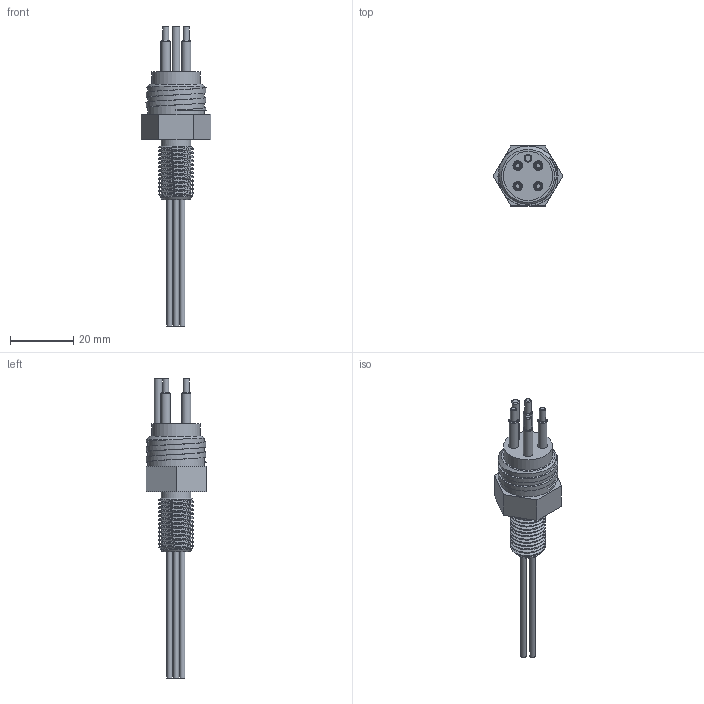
import cadquery as cq
import math

HEX_HEIGHT = 8.0
COLLAR_HEIGHT = 9.5
PLUG_HEIGHT = 4.0
PIN_HEIGHT = 14.5
SHANK_LENGTH = 19.0
NECK_LENGTH = 2.0
WIRE_LENGTH = 40.0

COLLAR_BOTTOM = HEX_HEIGHT
COLLAR_TOP = COLLAR_BOTTOM + COLLAR_HEIGHT
PLUG_TOP = COLLAR_TOP + PLUG_HEIGHT
SHANK_BOTTOM = -SHANK_LENGTH

HEX_SIDES = 6
HEX_ACROSS_FLATS = 19.0
HEX_CORNER_RADIUS = HEX_ACROSS_FLATS / 2 / math.cos(math.pi / HEX_SIDES)

COLLAR_DIAMETER = 17.9
COLLAR_TOP_DIAMETER = 16.8
PLUG_DIAMETER = 15.5

COLLAR_THREAD_DIAMETER = 19.0
COLLAR_THREAD_PITCH = 3.175
COLLAR_THREAD_ROOT_WIDTH = 1.65
COLLAR_THREAD_CREST_WIDTH = 1.55
COLLAR_THREAD_START = COLLAR_BOTTOM + 1.4

SHANK_CORE_DIAMETER = 9.5
SHANK_THREAD_DIAMETER = 11.11
SHANK_THREAD_PITCH = 1.27
SHANK_THREAD_ROOT_WIDTH = 1.15
SHANK_THREAD_CREST_WIDTH = 0.35
SHANK_THREAD_TOP = -NECK_LENGTH
SHANK_RIDGE_DROP = 0.4
SHANK_RIDGE_START = SHANK_BOTTOM - SHANK_RIDGE_DROP
SHANK_END_DIAMETER = 8.9
SHANK_END_CHAMFER_HEIGHT = 1.6
SHANK_LEAD_IN_HEIGHT = 0.6

PIN_SPACING = 6.5
PIN_BASE_DIAMETER = 3.0
PIN_TIP_DIAMETER = 2.0
PIN_TIP_LENGTH = 4.5
PIN_SHOULDER_CHAMFER = 0.3
PIN_END_CHAMFER = 0.3
EARTH_PIN_DIAMETER = 2.5
EARTH_PIN_OFFSET = 5.6

WIRE_DIAMETER = 1.7
WIRE_OFFSET = 2.0

EMBED = 0.2
CORE_OVERRUN = 2.0
RIDGE_OVERRUN = 1.5
TRIM_DIAMETER = 30.0
TRIM_LENGTH = 10.0


def cylinder(diameter, bottom, top):
    """Solid cylinder on the Z axis between two heights."""
    return cq.Workplane("XY").workplane(offset=bottom).circle(diameter / 2).extrude(top - bottom)


def revolved(outline):
    """Solid of revolution about Z from (radius, height) points."""
    return cq.Workplane("XZ").polyline(outline).close().revolve(360, (0, 0, 0), (0, 1, 0))


def threaded_bar(
    core_diameter, crest_diameter, root_width, crest_width, pitch, ridge_start, turn, bottom, top
):
    """Bar with a right-handed helical ridge, cut off square at both ends.

    The ridge section is centred on height `ridge_start` at `turn` degrees from +X.
    """
    inner = core_diameter / 2 - EMBED
    outer = crest_diameter / 2
    section = [
        (inner, -root_width / 2),
        (outer, -crest_width / 2),
        (outer, crest_width / 2),
        (inner, root_width / 2),
    ]
    helix = cq.Wire.makeHelix(pitch, top + RIDGE_OVERRUN - ridge_start, core_diameter / 2)
    ridge = cq.Workplane("XZ").polyline(section).close().sweep(cq.Workplane(obj=helix), isFrenet=True)
    ridge = ridge.rotate((0, 0, 0), (0, 0, 1), turn).translate((0, 0, ridge_start))
    bar = cylinder(core_diameter, bottom - CORE_OVERRUN, top + CORE_OVERRUN).union(ridge)
    bar = bar.cut(cylinder(TRIM_DIAMETER, top, top + TRIM_LENGTH))
    return bar.cut(cylinder(TRIM_DIAMETER, bottom - TRIM_LENGTH, bottom))


def chamfer_cutter(end_radius, side_radius, end_height, side_height):
    """Ring outside the cone through (end_radius, end_height) and (side_radius, side_height)."""
    radial_run = side_radius - end_radius
    axial_run = side_height - end_height
    inner_radius = end_radius - radial_run
    outer_radius = side_radius + radial_run
    beyond_end = end_height - axial_run
    return revolved([
        (inner_radius, beyond_end),
        (outer_radius, beyond_end),
        (outer_radius, side_height + axial_run),
    ])


def hexagon():
    """Hexagonal flange with two flats facing -Y and +Y."""
    corners = []
    for index in range(HEX_SIDES):
        angle = 2 * math.pi * index / HEX_SIDES
        corners.append((HEX_CORNER_RADIUS * math.cos(angle), HEX_CORNER_RADIUS * math.sin(angle)))
    return cq.Workplane("XY").polyline(corners).close().extrude(HEX_HEIGHT)


def collar():
    """Collar with a coarse thread; one 45 degree cone chamfers both the core and the thread."""
    ridge_start = COLLAR_THREAD_START - COLLAR_THREAD_CREST_WIDTH / 2
    threaded = threaded_bar(
        COLLAR_DIAMETER, COLLAR_THREAD_DIAMETER, COLLAR_THREAD_ROOT_WIDTH, COLLAR_THREAD_CREST_WIDTH,
        COLLAR_THREAD_PITCH, ridge_start, -90, COLLAR_THREAD_START, COLLAR_TOP,
    )
    plain = cylinder(COLLAR_DIAMETER, COLLAR_BOTTOM, COLLAR_THREAD_START)
    end_radius = COLLAR_TOP_DIAMETER / 2
    side_radius = COLLAR_THREAD_DIAMETER / 2
    cone_bottom = COLLAR_TOP - (side_radius - end_radius)
    return threaded.union(plain).cut(chamfer_cutter(end_radius, side_radius, COLLAR_TOP, cone_bottom))


def shank():
    """Plain neck above a fine-threaded shank that is chamfered at both ends."""
    threaded = threaded_bar(
        SHANK_CORE_DIAMETER, SHANK_THREAD_DIAMETER, SHANK_THREAD_ROOT_WIDTH, SHANK_THREAD_CREST_WIDTH,
        SHANK_THREAD_PITCH, SHANK_RIDGE_START, 0, SHANK_BOTTOM, SHANK_THREAD_TOP,
    )
    end_radius = SHANK_END_DIAMETER / 2
    side_radius = SHANK_THREAD_DIAMETER / 2
    cone_top = SHANK_BOTTOM + SHANK_END_CHAMFER_HEIGHT
    threaded = threaded.cut(chamfer_cutter(end_radius, side_radius, SHANK_BOTTOM, cone_top))
    core_radius = SHANK_CORE_DIAMETER / 2
    lead_in_bottom = SHANK_THREAD_TOP - SHANK_LEAD_IN_HEIGHT
    threaded = threaded.cut(chamfer_cutter(core_radius, side_radius, SHANK_THREAD_TOP, lead_in_bottom))
    return threaded.union(cylinder(SHANK_CORE_DIAMETER, SHANK_THREAD_TOP, 0))


def contact_pin():
    """Stepped pin standing on the plug, chamfered at its shoulder and end."""
    base = cylinder(PIN_BASE_DIAMETER, PLUG_TOP, PLUG_TOP + PIN_HEIGHT - PIN_TIP_LENGTH)
    tip = cylinder(PIN_TIP_DIAMETER, PLUG_TOP, PLUG_TOP + PIN_HEIGHT)
    base = base.faces(">Z").chamfer(PIN_SHOULDER_CHAMFER)
    return base.union(tip.faces(">Z").chamfer(PIN_END_CHAMFER))


def earth_pin():
    """Plain pin on the +Y side of the plug."""
    pin = cylinder(EARTH_PIN_DIAMETER, PLUG_TOP, PLUG_TOP + PIN_HEIGHT)
    return pin.faces(">Z").chamfer(PIN_END_CHAMFER).translate((0, EARTH_PIN_OFFSET, 0))


result = hexagon().union(collar()).union(cylinder(PLUG_DIAMETER, COLLAR_TOP, PLUG_TOP))
result = result.union(shank()).union(earth_pin())

for side_x in (-1, 1):
    for side_y in (-1, 1):
        position = (side_x * PIN_SPACING / 2, side_y * PIN_SPACING / 2, 0)
        result = result.union(contact_pin().translate(position))

for direction_x, direction_y in ((1, 0), (0, 1), (-1, 0), (0, -1)):
    wire = cylinder(WIRE_DIAMETER, SHANK_BOTTOM - WIRE_LENGTH, SHANK_BOTTOM)
    result = result.union(wire.translate((direction_x * WIRE_OFFSET, direction_y * WIRE_OFFSET, 0)))